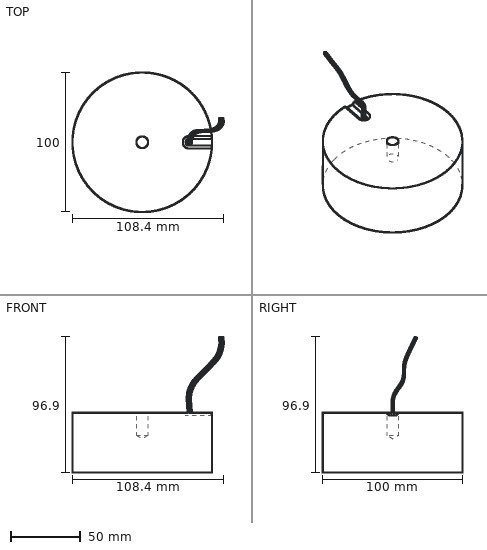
import cadquery as cq
import math

body_diameter = 100.0
body_height = 42.9

hole_diameter = 8.3
hole_depth = 16.2
drill_point_angle = 118.0

groove_top_width = 8.9
groove_depth = 2.1
groove_end_x = 33.5

strand_diameter = 1.6
strand_spacing = 1.5
wire_embed = 1.1
wire_root_x = 34.2
wire_bend_x = 33.5
wire_bend_height = 6.8

wire_bend_points = [
    (34.6, 3.7, 16.9),
    (37.4, 6.9, 22.0),
    (44.3, 8.1, 29.2),
    (49.9, 8.6, 35.1),
    (54.8, 10.9, 41.7),
    (56.8, 14.7, 49.7),
    (56.4, 16.7, 53.6),
]


def make_body():
    return cq.Workplane("XY").circle(body_diameter / 2).extrude(body_height)


def make_center_hole():
    radius = hole_diameter / 2
    point_height = radius / math.tan(math.radians(drill_point_angle / 2))
    shoulder_z = body_height - hole_depth
    return (
        cq.Workplane("XZ")
        .moveTo(0, body_height)
        .lineTo(radius, body_height)
        .lineTo(radius, shoulder_z)
        .lineTo(0, shoulder_z - point_height)
        .close()
        .revolve(360, (0, 0, 0), (0, 1, 0))
    )


def make_groove():
    top_radius = groove_top_width / 2
    floor_radius = top_radius - groove_depth
    floor_z = body_height - groove_depth
    run_length = body_diameter / 2 - groove_end_x + 1.1
    channel = (
        cq.Workplane("YZ", origin=(groove_end_x, 0, 0))
        .moveTo(-top_radius, body_height)
        .lineTo(-floor_radius, floor_z)
        .lineTo(floor_radius, floor_z)
        .lineTo(top_radius, body_height)
        .close()
        .extrude(run_length)
    )
    rounded_end = cq.Workplane(
        cq.Solid.makeCone(
            floor_radius, top_radius, groove_depth, pnt=cq.Vector(groove_end_x, 0, floor_z)
        )
    )
    return channel.union(rounded_end)


def make_strand(offset_x):
    root = cq.Vector(wire_root_x + offset_x, 0, body_height - groove_depth - wire_embed)
    bend_start = cq.Vector(wire_bend_x + offset_x, 0, body_height + wire_bend_height)
    bend_points = [cq.Vector(x + offset_x, y, body_height + z) for x, y, z in wire_bend_points]
    direction = bend_start - root
    end_direction = bend_points[-1] - bend_points[-2]

    straight = cq.Edge.makeLine(root, bend_start)
    bend = cq.Edge.makeSpline([bend_start] + bend_points, tangents=[direction, end_direction])
    path = cq.Wire.assembleEdges([straight, bend])
    section = cq.Workplane(cq.Plane(origin=root, normal=direction)).circle(strand_diameter / 2)
    return section.sweep(cq.Workplane(path))


result = make_body().cut(make_center_hole()).cut(make_groove())
for side in (-1, 1):
    result = result.union(make_strand(side * strand_spacing / 2))